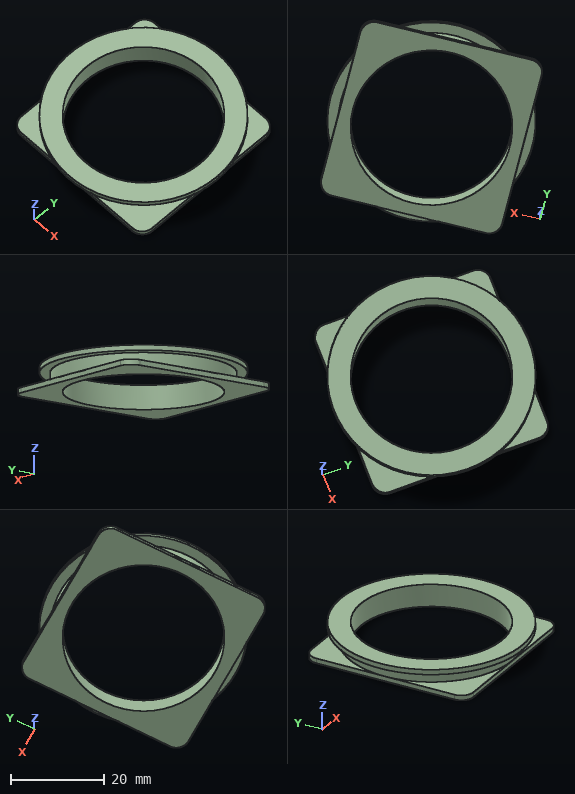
import cadquery as cq

flange_diameter = 44.6
collar_diameter = 40.0
bore_diameter = 34.6
total_height = 5.4
plate_thickness = 1.2
flange_thickness = 1.2
plate_corner_radius = 3.0

plate_width = collar_diameter
flange_base = total_height - flange_thickness


def disc(diameter, base, height):
    """Solid disc on the Z axis, rising from the given base height."""
    return cq.Workplane("XY").workplane(offset=base).circle(diameter / 2).extrude(height)


plate = (
    cq.Workplane("XY")
    .rect(plate_width, plate_width)
    .extrude(plate_thickness)
    .edges("|Z")
    .fillet(plate_corner_radius)
)

collar = disc(collar_diameter, 0, flange_base)

flange = disc(flange_diameter, flange_base, flange_thickness)

bore = disc(bore_diameter, 0, total_height)

result = plate.union(collar).union(flange).cut(bore)